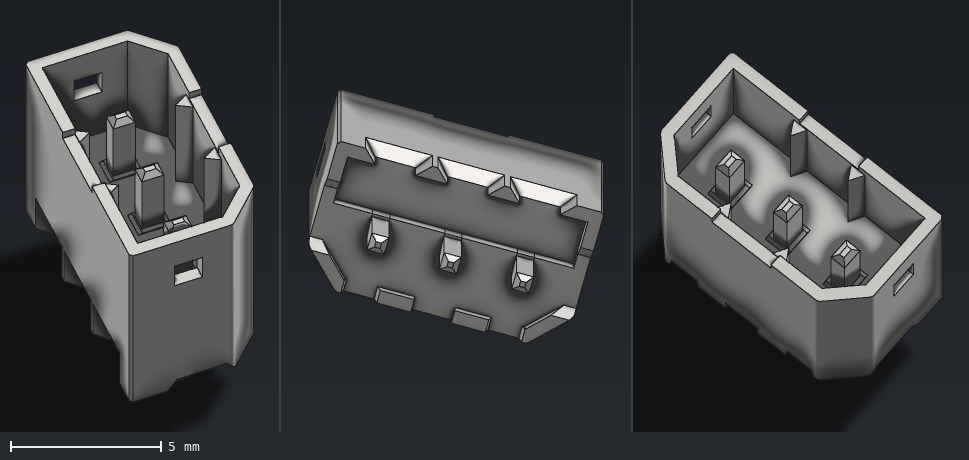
import cadquery as cq
import math

width = 9.2
depth = 5.0
height = 7.5
wall = 0.45
corner_cut = 1.3
cut_edge_radius = 0.25
front_edge_chamfer = 0.11

floor_top = 3.23
floor_underside = 0.46

pin_count = 3
pitch = 2.5
pin_y = 0.1
pin_width = 0.6
pin_depth = 0.8
tail_depth = pin_width
pin_top = 5.88
tail_length = 2.1
pin_tip = 0.2

seat_width = 0.94
seat_depth = 1.19
seat_slope_run = 0.14
seat_rise = 0.05

rib_width = 0.6
rib_reach = 0.51
rib_top = 7.11

rim_notch_width = 2.55
rim_notch_depth = 0.3
window_size = 1.0
window_bottom = 5.3
end_slot_top_width = 1.8
end_slot_bottom_width = 2.5
pocket_top = 1.56
pocket_width = 2.3
rear_slot_top_width = 1.06
rear_slot_bottom_width = 1.25

front_y = -depth / 2
rear_y = depth / 2
front_inner_y = front_y + wall
rear_inner_y = rear_y - wall
pin_front_y = pin_y - pin_depth / 2
pocket_inner_width = pocket_width - 2 * wall
channel_top = pocket_top - wall
inner_width = width - 2 * wall
inner_corner_cut = corner_cut - wall * (2 - math.sqrt(2))
pin_xs = [(i - (pin_count - 1) / 2) * pitch for i in range(pin_count)]
rib_xs = [(a + b) / 2 for a, b in zip(pin_xs, pin_xs[1:])]


def block(x0, x1, y0, y1, z0, z1):
    """Box given by its limits along each axis."""
    return cq.Workplane("XY").box(x1 - x0, y1 - y0, z1 - z0, centered=False).translate((x0, y0, z0))


def cut_corner_prism(half_width, y_front, y_rear, corner, z0, z1):
    """Upright prism whose outline is a rectangle with both rear corners cut at 45 degrees."""
    outline = [
        (-half_width, y_front),
        (half_width, y_front),
        (half_width, y_rear - corner),
        (half_width - corner, y_rear),
        (-half_width + corner, y_rear),
        (-half_width, y_rear - corner),
    ]
    return cq.Workplane("XY").workplane(offset=z0).polyline(outline).close().extrude(z1 - z0)


def foot_slot_outline(plane, centre, top_width, bottom_width):
    """Trapezoid that opens towards the underside and reaches up to the floor."""
    return (
        cq.Workplane(plane)
        .moveTo(centre - bottom_width / 2, 0)
        .lineTo(centre + bottom_width / 2, 0)
        .lineTo(centre + top_width / 2, floor_underside)
        .lineTo(centre - top_width / 2, floor_underside)
        .close()
    )


def make_outer():
    """Solid outer form with rounded rear cut edges and chamfered front edges."""
    outer = cut_corner_prism(width / 2, front_y, rear_y, corner_cut, 0, height)
    outer = outer.edges("|Z and <Y").chamfer(front_edge_chamfer)
    rear_half = cq.selectors.BoxSelector((-width, 0, 0), (width, depth, height))
    return outer.edges("|Z").edges(rear_half).fillet(cut_edge_radius)


def make_inner(z0, z1):
    """Space enclosed by the walls between two heights."""
    return cut_corner_prism(inner_width / 2, front_inner_y, rear_inner_y, inner_corner_cut, z0, z1)


def make_rib(x, wall_y, inward):
    """Triangular rib rising from the floor; inward is +1 or -1 along Y."""
    return (
        cq.Workplane("XY")
        .workplane(offset=floor_top)
        .moveTo(x - rib_width / 2, wall_y)
        .lineTo(x + rib_width / 2, wall_y)
        .lineTo(x, wall_y + inward * rib_reach)
        .close()
        .extrude(rib_top - floor_top)
    )


def make_seat(x):
    """Low raised seat around a pin, sloping down at its front and rear edges."""
    half = seat_depth / 2
    return (
        cq.Workplane("YZ")
        .workplane(offset=x - seat_width / 2)
        .moveTo(pin_y - half, floor_top)
        .lineTo(pin_y + half, floor_top)
        .lineTo(pin_y + half - seat_slope_run, floor_top + seat_rise)
        .lineTo(pin_y - half + seat_slope_run, floor_top + seat_rise)
        .close()
        .extrude(seat_width)
    )


def make_front_pocket(x):
    """Opening at the foot of the front wall that narrows at 45 degrees on three sides."""
    return (
        cq.Workplane("XZ", origin=(x, front_y, 0))
        .rect(pocket_width, 2 * pocket_top)
        .workplane(offset=-wall)
        .rect(pocket_inner_width, 2 * channel_top)
        .loft(ruled=True)
    )


def make_rear_slot(x):
    """Opening at the foot of the rear wall; straight and wider behind the middle pin."""
    if abs(x) < pitch / 2:
        top_width = bottom_width = pocket_inner_width
    else:
        top_width, bottom_width = rear_slot_top_width, rear_slot_bottom_width
    slot = foot_slot_outline("XZ", x, top_width, bottom_width)
    return slot.extrude(-rear_y).intersect(block(-width, width, rear_inner_y, rear_y, 0, height))


def make_pin(x):
    """Blade with a square solder tail, tapered at both ends."""
    left = x - pin_width / 2
    right = x + pin_width / 2
    blade = block(left, right, pin_front_y, pin_front_y + pin_depth, floor_underside, pin_top)
    blade = blade.faces(">Z").chamfer(pin_tip)
    tail_front_y = pin_y - tail_depth / 2
    tail = block(left, right, tail_front_y, tail_front_y + tail_depth, -tail_length, floor_underside)
    tail = tail.faces("<Z").chamfer(pin_tip)
    return blade.union(tail)


def make_housing():
    body = make_outer()

    body = body.cut(make_inner(floor_top, height))
    body = body.cut(make_inner(0, floor_underside))

    body = body.cut(block(-inner_width / 2, inner_width / 2, front_inner_y, pin_front_y, 0, channel_top))

    for x in rib_xs:
        body = body.union(make_rib(x, front_inner_y, 1))
        body = body.union(make_rib(x, rear_inner_y, -1))

    half_notch = rim_notch_width / 2
    body = body.cut(block(-half_notch, half_notch, front_y, rear_y, height - rim_notch_depth, height))

    body = body.cut(
        block(-width / 2, width / 2, pin_y - window_size, pin_y, window_bottom, window_bottom + window_size)
    )
    end_slot = foot_slot_outline("YZ", pin_y, end_slot_top_width, end_slot_bottom_width)
    body = body.cut(end_slot.extrude(width / 2, both=True))

    for x in pin_xs:
        body = body.cut(make_front_pocket(x))
        body = body.cut(make_rear_slot(x))
        body = body.union(make_seat(x))
        body = body.cut(make_pin(x))
    return body


housing = make_housing()
pins = [make_pin(x) for x in pin_xs]

result = cq.Compound.makeCompound([housing.solids().val(), *[pin.solids().val() for pin in pins]])